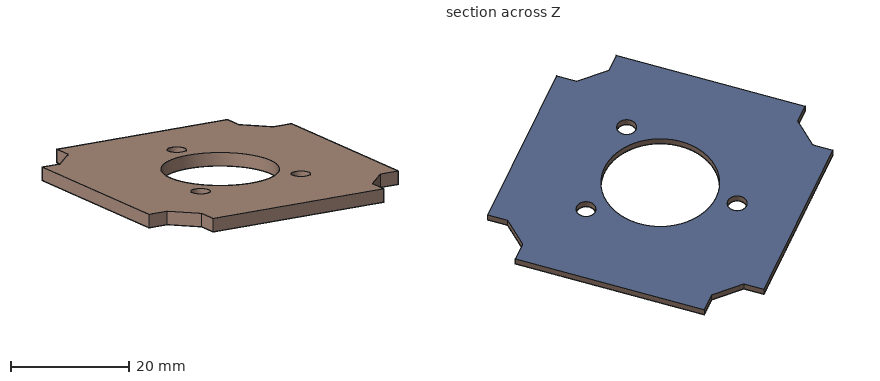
import cadquery as cq

side = 49.8
thickness = 2.4
half = side / 2

notch_size = 7.85
notch_step = 3.65

bore_diameter = 20.0
screw_diameter = 3.3
single_screw_x = -13.85
paired_screw_x = 9.7
paired_screw_y = 10.0


def corner_notch(x_sign, y_sign):
    """Cutter that removes one corner, leaving a diagonal inner face."""
    points = [
        (half, half),
        (half, half - notch_size),
        (half - notch_step, half - notch_size),
        (half - notch_size, half - notch_step),
        (half - notch_size, half),
    ]
    corner_points = [(x_sign * x, y_sign * y) for x, y in points]
    return cq.Workplane("XY").polyline(corner_points).close().extrude(thickness)


plate = cq.Workplane("XY").rect(side, side).extrude(thickness)
for x_sign in (-1, 1):
    for y_sign in (-1, 1):
        plate = plate.cut(corner_notch(x_sign, y_sign))

plate = plate.faces(">Z").workplane(origin=(0, 0, thickness)).hole(bore_diameter)
screw_centers = [
    (single_screw_x, 0),
    (paired_screw_x, paired_screw_y),
    (paired_screw_x, -paired_screw_y),
]
result = (
    plate.faces(">Z")
    .workplane(origin=(0, 0, thickness))
    .pushPoints(screw_centers)
    .hole(screw_diameter)
)